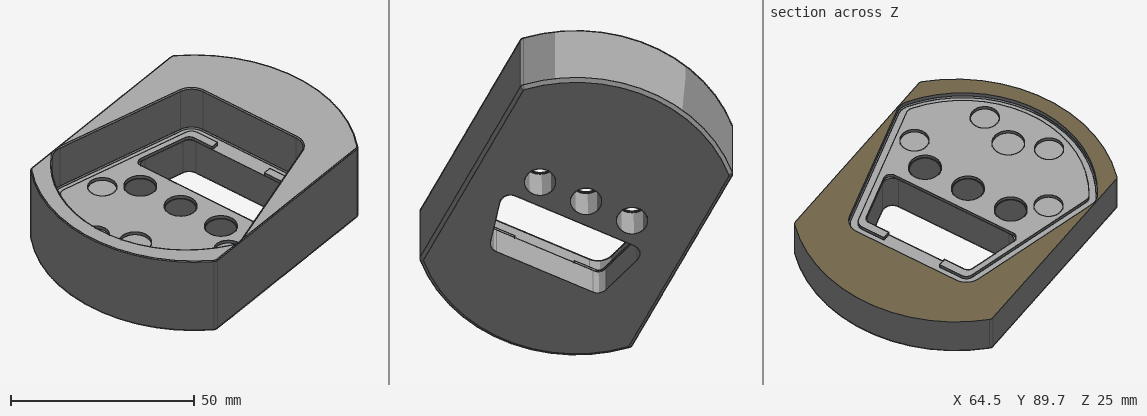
import cadquery as cq
import math

outer_diameter = 89.7
width = 64.5
height = 25.0
corner_radius = 1.5
base_chamfer = 1.0
top_chamfer = 0.3

floor_z = 11.0
pocket_back_y = 24.3
pocket_back_half_width = 20.0
arc_center_y = -3.5
pocket_arc_radius = 36.7
pocket_corner_radius = 5.0
lean = math.radians(15)
rim_chamfer = 0.4
floor_chamfer = 0.4

plate_thickness = 1.0
plate_inset = 2.5
plate_arc_radius = 34.4
plate_corner_radius = pocket_corner_radius - plate_inset
plate_notch_width = 18.1

window_back_y = 19.4
window_front_y = 1.0
window_back_half_width = 16.95
plate_window_radius = 2.0
floor_window_radius = 3.0

through_hole_xs = (-14.0, 0, 14.0)
through_hole_y = -6.0
through_points = [(x, through_hole_y) for x in through_hole_xs]
floor_hole_diameter = 8.5
plate_hole_diameter = 9.0
center_hole_point = (0, -26.0)
small_hole_diameter = 8.0
small_hole_points = [
    (side * x, y)
    for side in (-1, 1)
    for x, y in ((21.9, -12.7), (10.5, -30.3))
]


def fan_block(inset, arc_radius, radius, bottom_z, top_z):
    """Prism with the pocket's straight sides moved inwards by inset, and rounded corners."""
    back_y = pocket_back_y - inset
    back_x = pocket_back_half_width + inset * math.tan(lean) - inset / math.cos(lean)
    line_distance = back_x * math.cos(lean) + (back_y - arc_center_y) * math.sin(lean)
    along = math.sqrt(arc_radius**2 - line_distance**2)
    front_x = line_distance * math.cos(lean) + along * math.sin(lean)
    front_y = arc_center_y + line_distance * math.sin(lean) - along * math.cos(lean)
    return (
        cq.Workplane("XY", origin=(0, 0, bottom_z))
        .moveTo(-back_x, back_y)
        .lineTo(back_x, back_y)
        .lineTo(front_x, front_y)
        .threePointArc((0, arc_center_y - arc_radius), (-front_x, front_y))
        .close()
        .extrude(top_z - bottom_z)
        .edges("|Z")
        .fillet(radius)
    )


def window_block(radius, bottom_z, top_z):
    """Trapezoidal prism with rounded corners and sides parallel to the pocket's."""
    front_half_width = window_back_half_width + (window_back_y - window_front_y) * math.tan(lean)
    return (
        cq.Workplane("XY", origin=(0, 0, bottom_z))
        .polyline([
            (-window_back_half_width, window_back_y),
            (window_back_half_width, window_back_y),
            (front_half_width, window_front_y),
            (-front_half_width, window_front_y),
        ])
        .close()
        .extrude(top_z - bottom_z)
        .edges("|Z")
        .fillet(radius)
    )


def cylinders(points, diameter, bottom_z, top_z):
    return (
        cq.Workplane("XY", origin=(0, 0, bottom_z))
        .pushPoints(points)
        .circle(diameter / 2)
        .extrude(top_z - bottom_z)
    )


def make_housing():
    flats = cq.Workplane("XY").box(width, outer_diameter, height, centered=(True, True, False))
    body = cq.Workplane("XY").circle(outer_diameter / 2).extrude(height).intersect(flats)
    body = body.edges("|Z and (>X or <X)").fillet(corner_radius)
    body = body.faces("<Z").chamfer(base_chamfer)
    body = body.faces(">Z").chamfer(top_chamfer)

    pocket = fan_block(0, pocket_arc_radius, pocket_corner_radius, floor_z, height)
    pocket = pocket.faces("<Z").chamfer(floor_chamfer)
    rim = fan_block(
        -rim_chamfer,
        pocket_arc_radius + rim_chamfer,
        pocket_corner_radius + rim_chamfer,
        height - rim_chamfer,
        height + rim_chamfer,
    )
    rim = rim.faces("<Z").chamfer(rim_chamfer)

    window = window_block(floor_window_radius, 0, floor_z)
    holes = cylinders(through_points, floor_hole_diameter, 0, floor_z)
    return body.cut(pocket).cut(rim).cut(window).cut(holes)


def make_plate():
    top_z = floor_z + plate_thickness
    plate = fan_block(plate_inset, plate_arc_radius, plate_corner_radius, floor_z, top_z)
    plate = plate.cut(window_block(plate_window_radius, floor_z, top_z))

    middle_y = (window_front_y + window_back_y) / 2
    notch_length = pocket_back_y - middle_y
    notch = cq.Workplane("XY", origin=(0, middle_y + notch_length / 2, floor_z)).box(
        plate_notch_width, notch_length, plate_thickness, centered=(True, True, False)
    )

    large_holes = cylinders(through_points + [center_hole_point], plate_hole_diameter, floor_z, top_z)
    small_holes = cylinders(small_hole_points, small_hole_diameter, floor_z, top_z)
    return plate.cut(notch).cut(large_holes).cut(small_holes)


housing = make_housing()
plate = make_plate()
result = cq.Compound.makeCompound([housing.val(), plate.val()])